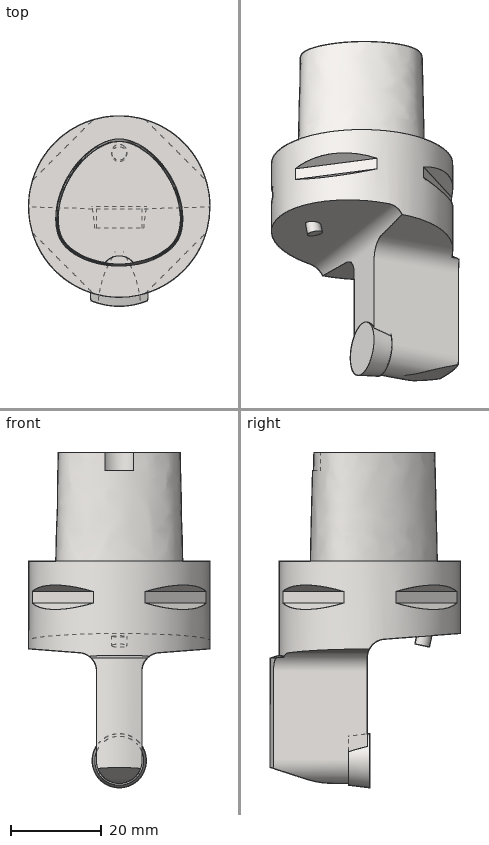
import cadquery as cq
import math


shank_height = 24.0
shank_base_width = 28.05
shank_base_radius = shank_base_width / 2
shank_top_width = 26.9
shank_top_radius = shank_top_width / 2
lobe_height = 0.9
lobe_count = 3
shank_points = 48

keyway_radius = 4.0
keyway_axis_y = -14.9
keyway_depth = 4.1

flange_diameter = 40.0
flange_radius = flange_diameter / 2
underside_slope = math.tan(math.radians(4.4))
front_rim_z = -16.0
side_rim_z = -19.4

slot_count = 4
slot_axis_z = -8.0
slot_floor_distance = 17.6
slot_floor_height = 2.5
slot_flank_angle = 31

insert_radius = 6.0
insert_back_radius = 5.4
insert_length = 4.7
tip_z = -50.0
insert_axis_z = tip_z + insert_radius

blade_half_width = 5.0
blade_front_y = -0.5
overall_depth = 42.0
blade_back_y = flange_radius - overall_depth
blade_back_radius = 16.3
blade_bottom_z = insert_axis_z - blade_half_width
root_fillet = 4.0
shoulder_z = -21.4
shoulder_slope = math.tan(math.radians(16))
shoulder_half_width = 6.35
heel_z = -45.5
heel_slope = math.tan(math.radians(18))
heel_blend_radius = 18.5

nozzle_diameter = 3.3
nozzle_end_y = 11.55
nozzle_end_z = -18.65
nozzle_tilt = 12
nozzle_length = 5.9

cut_margin = 3.7
selector_pad = 0.75


def lobed_wire(radius, z):
    """Closed constant-width outline with one lobe toward +Y."""
    points = []
    for i in range(shank_points):
        angle = 2 * math.pi * i / shank_points
        support = radius + lobe_height * math.cos(lobe_count * angle)
        slope = -lobe_count * lobe_height * math.sin(lobe_count * angle)
        along_lobe = support * math.cos(angle) - slope * math.sin(angle)
        across_lobe = support * math.sin(angle) + slope * math.cos(angle)
        points.append(cq.Vector(-across_lobe, along_lobe, z))
    return cq.Wire.assembleEdges([cq.Edge.makeSpline(points, periodic=True)])


def make_shank():
    base = lobed_wire(shank_base_radius, 0)
    top = lobed_wire(shank_top_radius, shank_height)
    shank = cq.Workplane(obj=cq.Solid.makeLoft([base, top], True))
    keyway = (
        cq.Workplane("XY", origin=(0, keyway_axis_y, shank_height))
        .circle(keyway_radius)
        .extrude(-keyway_depth)
    )
    return shank.cut(keyway)


def make_envelope():
    """Flange cylinder joined to a convex-backed block with a conical shoulder on top."""
    flange = cq.Workplane("XY").circle(flange_radius).extrude(tip_z)
    block_axis_y = blade_back_y + blade_back_radius
    cone_apex_z = shoulder_z + blade_back_radius * shoulder_slope
    back_block = (
        cq.Workplane("XZ", origin=(0, block_axis_y, 0))
        .moveTo(0, cone_apex_z)
        .lineTo(blade_back_radius, shoulder_z)
        .lineTo(blade_back_radius, tip_z)
        .lineTo(0, tip_z)
        .close()
        .revolve(360, (0, 0, 0), (0, 1, 0))
    )
    width_limit = cq.Workplane("XY").rect(2 * shoulder_half_width, -2 * blade_back_y).extrude(tip_z)
    return flange.union(back_block.intersect(width_limit))


def make_cross_profile():
    """Flange and round-nosed blade extruded along Y, with fillets at the blade root."""
    root_z = side_rim_z - (flange_radius - blade_half_width) * underside_slope
    profile = (
        cq.Workplane("XZ", origin=(0, flange_radius, 0))
        .moveTo(-flange_radius, 0)
        .lineTo(flange_radius, 0)
        .lineTo(flange_radius, side_rim_z)
        .lineTo(blade_half_width, root_z)
        .lineTo(blade_half_width, insert_axis_z)
        .threePointArc((0, blade_bottom_z), (-blade_half_width, insert_axis_z))
        .lineTo(-blade_half_width, root_z)
        .lineTo(-flange_radius, side_rim_z)
        .close()
        .extrude(flange_radius - blade_back_y + cut_margin)
    )
    corners = cq.selectors.BoxSelector(
        (-blade_half_width - selector_pad, -flange_radius, root_z - selector_pad),
        (blade_half_width + selector_pad, flange_radius, root_z + selector_pad),
    )
    return profile.edges("|Y").edges(corners).fillet(root_fillet)


def make_side_profile():
    """Flange, blade and sloping heel extruded along X."""
    root_z = front_rim_z - (flange_radius - blade_front_y) * underside_slope
    heel_end_y = blade_back_y + (heel_z - blade_bottom_z) / heel_slope
    profile = (
        cq.Workplane("YZ", origin=(-flange_radius, 0, 0))
        .moveTo(flange_radius, 0)
        .lineTo(flange_radius, front_rim_z)
        .lineTo(blade_front_y, root_z)
        .lineTo(blade_front_y, blade_bottom_z)
        .lineTo(heel_end_y, blade_bottom_z)
        .lineTo(blade_back_y, heel_z)
        .lineTo(blade_back_y, 0)
        .close()
        .extrude(2 * flange_radius)
    )
    root_edge = cq.selectors.NearestToPointSelector((0, blade_front_y, root_z))
    profile = profile.edges(root_edge).fillet(root_fillet)
    heel_edge = cq.selectors.NearestToPointSelector((0, heel_end_y, blade_bottom_z))
    return profile.edges(heel_edge).fillet(heel_blend_radius)


def make_gripper_slot(angle):
    """Tangential groove with a flat floor and flared flanks."""
    depth = flange_radius + cut_margin - slot_floor_distance
    floor_half = slot_floor_height / 2
    mouth_half = floor_half + depth * math.tan(math.radians(slot_flank_angle))
    return (
        cq.Workplane("XZ", origin=(0, flange_radius, slot_axis_z))
        .moveTo(slot_floor_distance, -floor_half)
        .lineTo(slot_floor_distance + depth, -mouth_half)
        .lineTo(slot_floor_distance + depth, mouth_half)
        .lineTo(slot_floor_distance, floor_half)
        .close()
        .extrude(2 * flange_radius)
        .rotate((0, 0, 0), (0, 0, 1), angle)
    )


def make_nozzle():
    """Tilted coolant pipe aimed at the insert, rooted in the flange."""
    tilt = math.radians(nozzle_tilt)
    upward = cq.Vector(0, math.sin(tilt), math.cos(tilt))
    end = cq.Vector(0, nozzle_end_y, nozzle_end_z)
    return cq.Workplane(obj=cq.Solid.makeCylinder(nozzle_diameter / 2, nozzle_length, end, upward))


def make_insert():
    front = cq.Vector(0, 0, insert_axis_z)
    rearward = cq.Vector(0, -1, 0)
    return cq.Workplane(
        obj=cq.Solid.makeCone(insert_radius, insert_back_radius, insert_length, front, rearward)
    )


def make_holder(seated_insert):
    holder = make_envelope().intersect(make_cross_profile()).intersect(make_side_profile())
    for i in range(slot_count):
        holder = holder.cut(make_gripper_slot((i + 0.5) * 360 / slot_count))
    holder = holder.union(make_shank()).union(make_nozzle())
    return holder.cut(seated_insert)


insert = make_insert()
holder = make_holder(insert)
result = cq.Compound.makeCompound([holder.val(), insert.val()])